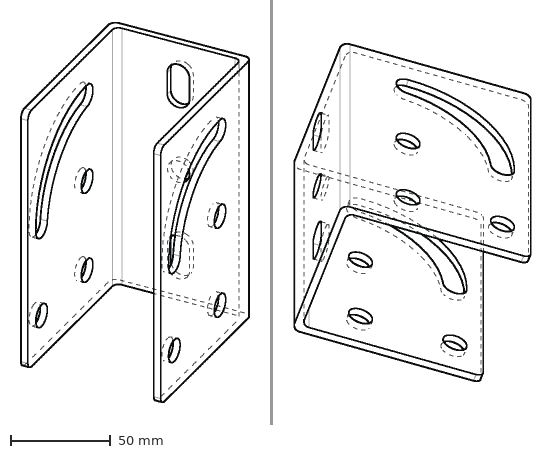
import cadquery as cq
import math

WIDTH = 79.0
DEPTH = 100.0
HEIGHT = 150.0
THICKNESS = 4.0
BEND_OUTER_RADIUS = 4.0
BEND_INNER_RADIUS = 3.5
FLANGE_CORNER_RADIUS = 4.0

HOLE_DIAMETER = 12.5
HOLE_RADIUS = HOLE_DIAMETER / 2

WEB_SLOT_LENGTH = 25.0
WEB_SLOT_OFFSET = 50.0

SLOT_END_DISTANCE = 50.0
SLOT_OUTER_EDGE_RADIUS = 55.0
SLOT_INNER_EDGE_RADIUS = 50.0
PIVOT_Z = 76.0
LOWER_HOLE_Z = 24.0
FRONT_HOLE_Y = 15.0
PIVOT_Y = FRONT_HOLE_Y + SLOT_END_DISTANCE


def make_channel():
    """U-shaped channel standing on Z = 0, centred on X, open toward -Y."""
    outer = (
        cq.Workplane("XY")
        .box(WIDTH, DEPTH, HEIGHT, centered=(True, False, False))
        .edges("|Z and >Y")
        .fillet(BEND_OUTER_RADIUS)
    )
    inner = (
        cq.Workplane("XY")
        .box(WIDTH - 2 * THICKNESS, DEPTH - THICKNESS, HEIGHT, centered=(True, False, False))
        .edges("|Z and >Y")
        .fillet(BEND_INNER_RADIUS)
    )
    return outer.cut(inner).edges("|X and <Y").fillet(FLANGE_CORNER_RADIUS)


def make_web_cutters():
    """Round hole and two vertical slots running through the web along Y."""
    web_plane = cq.Workplane("XZ", origin=(0, DEPTH, HEIGHT / 2))
    cut_depth = 2 * THICKNESS
    hole = web_plane.circle(HOLE_RADIUS).extrude(cut_depth)
    slots = (
        web_plane.pushPoints([(0, -WEB_SLOT_OFFSET), (0, WEB_SLOT_OFFSET)])
        .slot2D(WEB_SLOT_LENGTH, HOLE_DIAMETER, 90)
        .extrude(cut_depth)
    )
    return hole.union(slots)


def arc_middle_offset(reach, radius):
    """Distance from the pivot, along Y and equally along Z, to the middle of a slot edge.

    The edge is an arc of the given radius whose ends lie at `reach` from the
    pivot, one straight above it and one straight in front of it.
    """
    half_chord = reach * math.sqrt(0.5)
    bulge = radius - math.sqrt(radius**2 - half_chord**2)
    return (half_chord + bulge) * math.sqrt(0.5)


def make_flange_cutters():
    """Round holes and the curved slot running through both flanges along X."""
    flange_plane = cq.Workplane("YZ", origin=(-WIDTH / 2, 0, 0))
    hole_centres = [
        (PIVOT_Y, PIVOT_Z),
        (PIVOT_Y, LOWER_HOLE_Z),
        (FRONT_HOLE_Y, LOWER_HOLE_Z),
    ]
    holes = flange_plane.pushPoints(hole_centres).circle(HOLE_RADIUS).extrude(WIDTH)

    outer_reach = SLOT_END_DISTANCE + HOLE_RADIUS
    inner_reach = SLOT_END_DISTANCE - HOLE_RADIUS
    outer_middle = arc_middle_offset(outer_reach, SLOT_OUTER_EDGE_RADIUS)
    inner_middle = arc_middle_offset(inner_reach, SLOT_INNER_EDGE_RADIUS)
    arc_slot = (
        flange_plane.moveTo(PIVOT_Y, PIVOT_Z + outer_reach)
        .threePointArc(
            (PIVOT_Y - outer_middle, PIVOT_Z + outer_middle),
            (PIVOT_Y - outer_reach, PIVOT_Z),
        )
        .threePointArc(
            (FRONT_HOLE_Y, PIVOT_Z - HOLE_RADIUS),
            (PIVOT_Y - inner_reach, PIVOT_Z),
        )
        .threePointArc(
            (PIVOT_Y - inner_middle, PIVOT_Z + inner_middle),
            (PIVOT_Y, PIVOT_Z + inner_reach),
        )
        .threePointArc(
            (PIVOT_Y + HOLE_RADIUS, PIVOT_Z + SLOT_END_DISTANCE),
            (PIVOT_Y, PIVOT_Z + outer_reach),
        )
        .close()
        .extrude(WIDTH)
    )
    return holes.union(arc_slot)


result = make_channel().cut(make_web_cutters()).cut(make_flange_cutters())